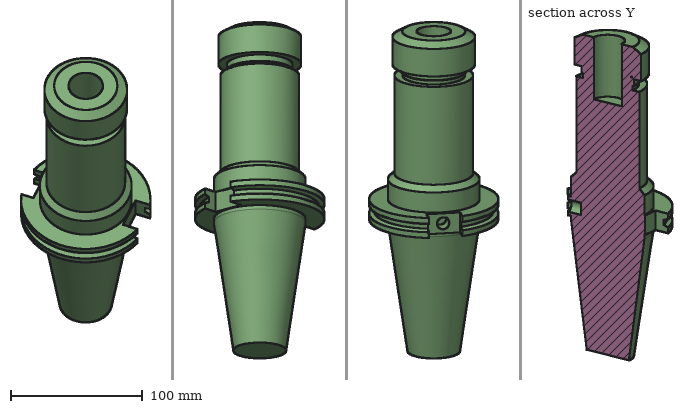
import cadquery as cq


gauge_diameter = 69.85
taper_length = 101.6
taper_rate = 7 / 24
taper_end_diameter = gauge_diameter - taper_rate * taper_length

flange_diameter = 98.425
flange_bottom = 3.175
flange_top = 19.05
flange_middle = (flange_bottom + flange_top) / 2
groove_mouth = 6.8
groove_floor = 3.6
groove_depth = 4.0

slot_width = 25.92
left_slot_floor = 37.7
right_slot_floor = 35.6

slot_hole_diameter = 9.4
slot_hole_depth = 12.0

collar_diameter = gauge_diameter
body_diameter = 60.0
collar_chamfer_height = 4.6
gauge_length = 152.4
collar_top = 39.6
body_top = 117.4

neck_diameter = 50.0
undercut_diameter = 47.5
undercut_height = 3.0
undercut_cone_height = 0.8

nut_diameter = 63.0
nut_bottom = 126.2
nut_face_diameter = 48.0
nut_chamfer_height = 4.35
bore_diameter = 26.0
bore_depth = 50.0


def make_turned_body():
    """Revolve the half profile, going up the outside from the small end of the taper."""
    flange_radius = flange_diameter / 2
    groove_radius = flange_radius - groove_depth
    neck_bottom = body_top + undercut_height + undercut_cone_height
    profile = [
        (0, -taper_length),
        (taper_end_diameter / 2, -taper_length),
        (gauge_diameter / 2, 0),
        (gauge_diameter / 2, flange_bottom),
        (flange_radius, flange_bottom),
        (flange_radius, flange_middle - groove_mouth / 2),
        (groove_radius, flange_middle - groove_floor / 2),
        (groove_radius, flange_middle + groove_floor / 2),
        (flange_radius, flange_middle + groove_mouth / 2),
        (flange_radius, flange_top),
        (collar_diameter / 2, flange_top),
        (collar_diameter / 2, collar_top - collar_chamfer_height),
        (body_diameter / 2, collar_top),
        (body_diameter / 2, body_top),
        (undercut_diameter / 2, body_top),
        (undercut_diameter / 2, body_top + undercut_height),
        (neck_diameter / 2, neck_bottom),
        (neck_diameter / 2, nut_bottom),
        (nut_diameter / 2, nut_bottom),
        (nut_diameter / 2, gauge_length - nut_chamfer_height),
        (nut_face_diameter / 2, gauge_length),
        (0, gauge_length),
    ]
    return cq.Workplane("XZ").polyline(profile).close().revolve(360, (0, 0, 0), (0, 1, 0))


def make_drive_slot(side, floor_distance):
    """Block that cuts a drive slot through the flange; side is -1 for -X or +1 for +X."""
    slot_length = flange_diameter / 2
    center_x = side * (floor_distance + slot_length / 2)
    flange_height = flange_top - flange_bottom
    return cq.Workplane("XY").box(slot_length, slot_width, flange_height).translate((center_x, 0, flange_middle))


def make_slot_hole():
    """Radial blind hole running inward from the floor of the left drive slot."""
    return (
        cq.Workplane("YZ", origin=(-left_slot_floor, 0, flange_middle))
        .circle(slot_hole_diameter / 2)
        .extrude(slot_hole_depth)
    )


def make_tool_bore():
    """Blind bore on the axis, open at the nut face."""
    return (
        cq.Workplane("XY", origin=(0, 0, gauge_length - bore_depth))
        .circle(bore_diameter / 2)
        .extrude(bore_depth)
    )


result = (
    make_turned_body()
    .cut(make_drive_slot(-1, left_slot_floor))
    .cut(make_drive_slot(1, right_slot_floor))
    .cut(make_slot_hole())
    .cut(make_tool_bore())
)